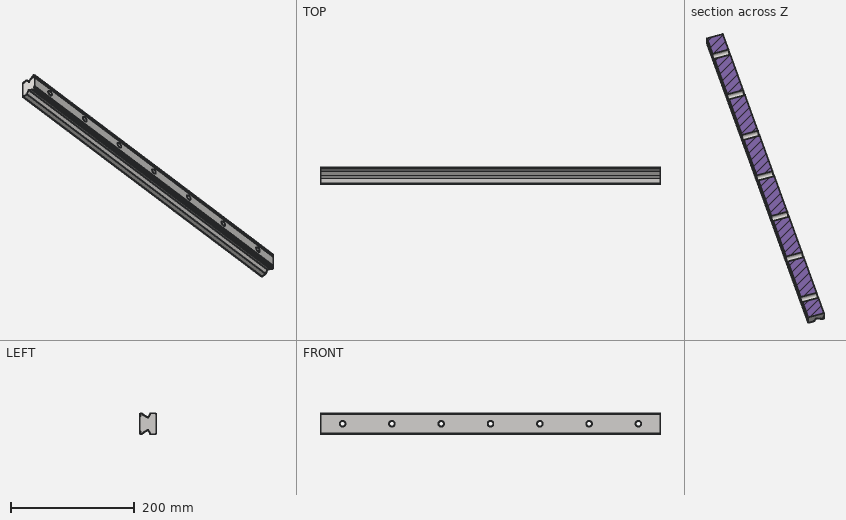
import cadquery as cq

length = 550.0
depth = 27.5
height = 34.0
edge_chamfer = 1.5

groove_depth = 7.0
groove_back_y = 11.0
groove_step_y = 7.5
groove_step_top_depth = 1.9
groove_step_height = 0.5
groove_root_y = 0.0
groove_front_y = -4.0

notch_width = 3.0
notch_depth = 1.5
notch_offset_z = 12.5

hole_count = 7
hole_pitch = 80.0
hole_diameter = 9.0


def groove(side):
    """Lengthwise groove in the top (side = 1) or the bottom (side = -1)."""
    surface_z = side * height / 2
    step_top_z = surface_z - side * groove_step_top_depth
    return (
        cq.Workplane("YZ")
        .moveTo(groove_back_y, surface_z)
        .lineTo(groove_step_y, step_top_z)
        .lineTo(groove_step_y, step_top_z - side * groove_step_height)
        .lineTo(groove_root_y, surface_z - side * groove_depth)
        .lineTo(groove_front_y, surface_z)
        .close()
        .extrude(length / 2, both=True)
    )


def notch(side):
    """Lengthwise notch in the upper (side = 1) or lower (side = -1) part of the back face."""
    back_y = depth / 2
    centre_z = side * notch_offset_z
    return (
        cq.Workplane("YZ")
        .moveTo(back_y, centre_z - notch_width / 2)
        .lineTo(back_y - notch_depth, centre_z)
        .lineTo(back_y, centre_z + notch_width / 2)
        .close()
        .extrude(length / 2, both=True)
    )


bar = cq.Workplane("XY").box(length, depth, height)
bar = bar.edges("|X").chamfer(edge_chamfer)

for side in (1, -1):
    bar = bar.cut(groove(side)).cut(notch(side))

holes = (
    cq.Workplane("XZ")
    .rarray(hole_pitch, 5.5, hole_count, 1)
    .circle(hole_diameter / 2)
    .extrude(depth, both=True)
)

result = bar.cut(holes)